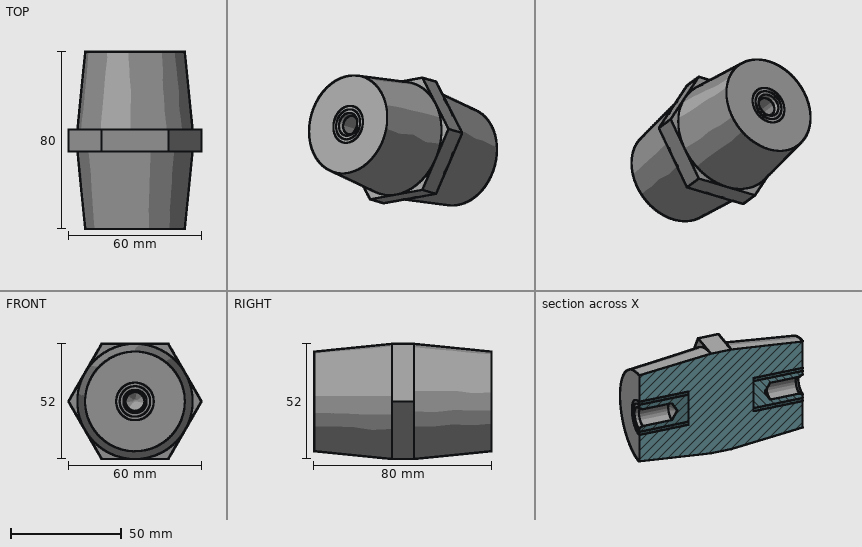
import cadquery as cq
import math

length = 80.0
hex_across_flats = 52.0
hex_thickness = 10.0
end_diameter = 45.0

sleeve_diameter = 17.0
insert_diameter = 13.8
insert_length = 24.0

mouth_diameter = 10.5
hole_diameter = 8.5
mouth_depth = 1.8
hole_depth = 16.0
drill_point_angle = 118.0

half_length = length / 2
end_signs = (-1, 1)


def revolve_at_end(half_profile, sign):
    """Revolve (radius, depth) points about Y, with depth measured inward from one end face."""
    points = [(radius, sign * (half_length - depth)) for radius, depth in half_profile]
    return cq.Workplane("XY").polyline(points).close().revolve(360, (0, 0, 0), (0, 1, 0))


def make_housing():
    """Hexagonal collar between two tapered halves, with a round pocket in each end."""
    hex_corner_diameter = hex_across_flats / math.cos(math.pi / 6)
    housing = (
        cq.Workplane("XZ")
        .polygon(6, hex_corner_diameter)
        .extrude(hex_thickness / 2, both=True)
    )
    taper_length = half_length - hex_thickness / 2
    taper_profile = [
        (0, 0),
        (end_diameter / 2, 0),
        (hex_across_flats / 2, taper_length),
        (0, taper_length),
    ]
    for sign in end_signs:
        housing = housing.union(revolve_at_end(taper_profile, sign))
    pocket_profile = [
        (0, 0),
        (sleeve_diameter / 2, 0),
        (sleeve_diameter / 2, insert_length),
        (0, insert_length),
    ]
    for sign in end_signs:
        housing = housing.cut(revolve_at_end(pocket_profile, sign))
    return housing


def make_sleeve(sign):
    """Plain tube lining the housing pocket around an insert."""
    return revolve_at_end(
        [
            (insert_diameter / 2, 0),
            (sleeve_diameter / 2, 0),
            (sleeve_diameter / 2, insert_length),
            (insert_diameter / 2, insert_length),
        ],
        sign,
    )


def make_insert(sign):
    """Round insert with a countersunk blind hole that ends in a drill point."""
    hole_radius = hole_diameter / 2
    drill_point_depth = hole_radius / math.tan(math.radians(drill_point_angle / 2))
    return revolve_at_end(
        [
            (mouth_diameter / 2, 0),
            (insert_diameter / 2, 0),
            (insert_diameter / 2, insert_length),
            (0, insert_length),
            (0, hole_depth + drill_point_depth),
            (hole_radius, hole_depth),
            (hole_radius, mouth_depth),
        ],
        sign,
    )


housing = make_housing()
sleeves = [make_sleeve(sign) for sign in end_signs]
inserts = [make_insert(sign) for sign in end_signs]

result = cq.Compound.makeCompound([body.val() for body in [housing, *sleeves, *inserts]])